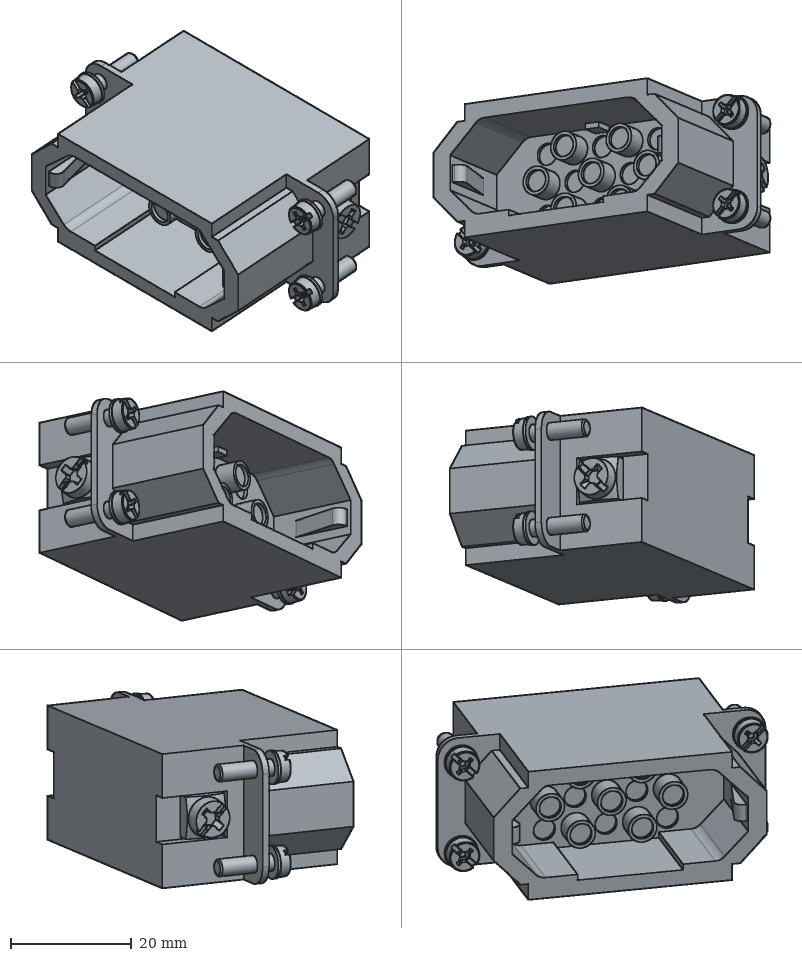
import cadquery as cq
import math

length = 56.25
depth = 34.3
height = 22.8
half_height = height / 2
mouth_y = -depth / 2
rear_y = depth / 2

flange_front_y = 0.9
flange_thickness = 1.2
flange_corner_radius = 3.5
rear_half_width = 21.1

shroud_half_width = 23.45
shroud_side_half_height = 3.8
shroud_shoulder_x = 18.9
shroud_shoulder_z = 8.55
spine_half_width = 17.5

cavity_half_width = 20.25
cavity_side_half_height = 3.0
cavity_top_z = 8.6
cavity_bottom_z = -7.7
cavity_corner_radius = 2.25
cavity_floor_y = -1.8
keyway_half_width = 9.05
keyway_depth = 1.0
key_width = 2.6
key_height = 0.95
key_length = 3.4

contact_pitch = 5.3
contact_columns = 5
contact_rows = 3
tube_diameter = 4.9
tube_length = 3.7
bore_diameter = 3.7
bore_depth = 0.7

latch_height = 2.9
latch_front_y = -16.45
latch_root_y = -6.2
latch_tip_thickness = 1.8
latch_tip_radius = 1.45

screw_x = 24.75
screw_z = 8.05
shank_diameter = 2.9
shank_end_y = 8.85
shank_chamfer = 0.3
collar_diameter = 5.6
collar_back_y = -1.1
collar_thickness = 0.5
head_base_diameter = 5.4
head_face_diameter = 5.2
head_face_y = -3.65
head_edge_chamfer = 0.15
head_slot_width = 0.85
head_slot_depth = 0.85
head_core_width = 1.8
head_core_depth = 1.1
head_cross_width = 0.6
head_cross_reach = 1.7
pilot_diameter = 1.0
pilot_depth = 1.45

groove_half_height = 3.95
groove_front_y = 5.1
groove_depth = 2.3
terminal_y = 9.05
terminal_face_x = 23.7
terminal_face_diameter = 6.2
terminal_base_x = 21.4
terminal_base_diameter = 6.75
terminal_pad_size = 7.15
terminal_flare_width = 1.7
terminal_flare_height = 0.7
terminal_slot_width = 1.05
terminal_slot_depth = 0.95
terminal_core_width = 2.3
terminal_core_depth = 1.4
terminal_cross_width = 1.2
terminal_cross_reach = 2.25

slot_tilt = 45

overlap = 0.55


def block(x_range, y_range, z_range):
    """Box spanning the three given ranges."""
    sizes = [high - low for low, high in (x_range, y_range, z_range)]
    corner = (x_range[0], y_range[0], z_range[0])
    return cq.Workplane("XY").box(*sizes, centered=False).translate(corner)


def along_y(start_y, end_y, outline):
    """Extrude an X-Z outline drawn by `outline` from start_y to end_y."""
    sketch = outline(cq.Workplane("XZ", origin=(0, start_y, 0)))
    return sketch.extrude(start_y - end_y)


def place(part, plane):
    """Move a part built around the local origin onto a plane."""
    return cq.Workplane(obj=part.val().moved(cq.Location(plane)))


def with_mirror(part):
    """Join a part with its mirror image across the Y-Z plane."""
    return part.union(part.mirror("YZ"))


def housing():
    shroud_points = [
        (shroud_half_width, shroud_side_half_height),
        (shroud_shoulder_x, shroud_shoulder_z),
        (-shroud_shoulder_x, shroud_shoulder_z),
        (-shroud_half_width, shroud_side_half_height),
        (-shroud_half_width, -shroud_side_half_height),
        (-shroud_shoulder_x, -shroud_shoulder_z),
        (shroud_shoulder_x, -shroud_shoulder_z),
        (shroud_half_width, -shroud_side_half_height),
    ]
    shroud = along_y(mouth_y, flange_front_y + overlap, lambda wp: wp.polyline(shroud_points).close())
    full_height = (-half_height, half_height)
    spine = block((-spine_half_width, spine_half_width), (mouth_y, rear_y), full_height)
    rear = block((-rear_half_width, rear_half_width), (flange_front_y, rear_y), full_height)
    flange_end_y = flange_front_y + flange_thickness
    flange = along_y(flange_front_y, flange_end_y, lambda wp: wp.rect(length, height))
    flange = flange.edges("|Y").fillet(flange_corner_radius)
    return spine.union(shroud).union(rear).union(flange)


def cavity():
    top_x = cavity_half_width - (cavity_top_z - cavity_side_half_height)
    bottom_x = cavity_half_width - (-cavity_bottom_z - cavity_side_half_height)
    points = [
        (cavity_half_width, cavity_side_half_height),
        (top_x, cavity_top_z),
        (-top_x, cavity_top_z),
        (-cavity_half_width, cavity_side_half_height),
        (-cavity_half_width, -cavity_side_half_height),
        (-bottom_x, cavity_bottom_z),
        (bottom_x, cavity_bottom_z),
        (cavity_half_width, -cavity_side_half_height),
    ]
    hollow = along_y(mouth_y, cavity_floor_y, lambda wp: wp.polyline(points).close())
    hollow = hollow.edges("|Y").edges("<Z or >Z").fillet(cavity_corner_radius)
    keyway = block(
        (-keyway_half_width, keyway_half_width),
        (mouth_y, cavity_floor_y),
        (cavity_bottom_z - keyway_depth, 0),
    )
    key = block(
        (-key_width / 2, key_width / 2),
        (cavity_floor_y - key_length, cavity_floor_y),
        (cavity_top_z - key_height, cavity_top_z),
    )
    return hollow.union(keyway).cut(key)


def contact_centres():
    """Grid positions, with True where the contact stands in a raised tube."""
    for column in range(contact_columns):
        for row in range(contact_rows):
            x = (column - (contact_columns - 1) / 2) * contact_pitch
            z = (row - (contact_rows - 1) / 2) * contact_pitch
            yield x, z, (column + row) % 2 == 1


def add_contacts(body):
    for x, z, raised in contact_centres():
        face_y = cavity_floor_y
        if raised:
            face_y -= tube_length
            tube_end_y = cavity_floor_y + overlap
            tube = along_y(face_y, tube_end_y, lambda wp: wp.center(x, z).circle(tube_diameter / 2))
            body = body.union(tube)
        bore = along_y(face_y, face_y + bore_depth, lambda wp: wp.center(x, z).circle(bore_diameter / 2))
        body = body.cut(bore)
    return body


def latch():
    """Right-hand finger, ramping out of the cavity wall towards the mouth."""
    centre_x = cavity_half_width - latch_tip_thickness + latch_tip_radius
    centre_y = latch_front_y + latch_tip_radius
    root_dx = cavity_half_width - centre_x
    root_dy = latch_root_y - centre_y
    ramp_angle = math.atan2(root_dx, root_dy) + math.asin(latch_tip_radius / math.hypot(root_dx, root_dy))
    tangent_point = (
        centre_x - latch_tip_radius * math.cos(ramp_angle),
        centre_y + latch_tip_radius * math.sin(ramp_angle),
    )
    finger = (
        cq.Workplane("XY", origin=(0, 0, -latch_height / 2))
        .moveTo(cavity_half_width + overlap, latch_front_y)
        .lineTo(centre_x, latch_front_y)
        .radiusArc(tangent_point, latch_tip_radius)
        .lineTo(cavity_half_width, latch_root_y)
        .lineTo(cavity_half_width + overlap, latch_root_y)
        .close()
        .extrude(latch_height)
    )
    return finger


def drive_recess(slot_width, slot_depth, core_width, core_depth, cross_width, cross_reach):
    """Combined slot and cross recess in a head whose face lies at local z = 0."""
    slot_length = 2 * terminal_base_diameter
    recess = cq.Workplane("XY").rect(slot_length, slot_width).extrude(-slot_depth)
    core_sides = 8
    across_corners = core_width / math.cos(math.pi / core_sides)
    core = cq.Workplane("XY").polygon(core_sides, across_corners).extrude(-core_depth)
    recess = recess.union(core.rotate((0, 0, 0), (0, 0, 1), 180 / core_sides))
    ramp_points = [(0, 0), (0, -core_depth), (core_width / 2, -core_depth), (cross_reach, 0)]
    ramp = cq.Workplane("XZ").polyline(ramp_points).close().extrude(cross_width / 2, both=True)
    for quarter in range(4):
        recess = recess.union(ramp.rotate((0, 0, 0), (0, 0, 1), quarter * 90))
    return recess


def fixing_screw(z):
    """Left-hand fixing screw at height z, head towards the mouth."""
    head_height = collar_back_y - collar_thickness - head_face_y
    collar_bottom = -head_height - collar_thickness
    profile = [
        (0, 0),
        (head_face_diameter / 2 - head_edge_chamfer, 0),
        (head_face_diameter / 2, -head_edge_chamfer),
        (head_base_diameter / 2, -head_height),
        (collar_diameter / 2, -head_height),
        (collar_diameter / 2, collar_bottom),
        (shank_diameter / 2, collar_bottom),
        (shank_diameter / 2, head_face_y - shank_end_y + shank_chamfer),
        (shank_diameter / 2 - shank_chamfer, head_face_y - shank_end_y),
        (0, head_face_y - shank_end_y),
    ]
    screw = cq.Workplane("XZ").polyline(profile).close().revolve(360, (0, 0, 0), (0, 1, 0))
    recess = drive_recess(
        head_slot_width, head_slot_depth, head_core_width, head_core_depth, head_cross_width, head_cross_reach
    )
    pilot = cq.Workplane("XY").circle(pilot_diameter / 2).extrude(-pilot_depth)
    recess = recess.union(pilot).rotate((0, 0, 0), (0, 0, 1), -slot_tilt)
    plane = cq.Plane(origin=(-screw_x, head_face_y, z), xDir=(1, 0, 0), normal=(0, -1, 0))
    return place(screw.cut(recess), plane)


def terminal():
    """Left-hand earth terminal screw, its head flaring into a square pad."""
    head_height = terminal_face_x - terminal_base_x
    foot = rear_half_width - groove_depth - overlap - terminal_face_x
    base_radius = terminal_base_diameter / 2
    flare_radius = base_radius + terminal_flare_width
    profile = [
        (0, 0),
        (terminal_face_diameter / 2, 0),
        (base_radius, -head_height),
        (flare_radius, -head_height - terminal_flare_height),
        (flare_radius, foot),
        (0, foot),
    ]
    head = cq.Workplane("XZ").polyline(profile).close().revolve(360, (0, 0, 0), (0, 1, 0))
    head = head.intersect(cq.Workplane("XY").rect(terminal_pad_size, terminal_pad_size).extrude(foot))
    recess = drive_recess(
        terminal_slot_width,
        terminal_slot_depth,
        terminal_core_width,
        terminal_core_depth,
        terminal_cross_width,
        terminal_cross_reach,
    )
    recess = recess.rotate((0, 0, 0), (0, 0, 1), slot_tilt)
    plane = cq.Plane(origin=(-terminal_face_x, terminal_y, 0), xDir=(0, -1, 0), normal=(-1, 0, 0))
    return place(head.cut(recess), plane)


def terminal_groove():
    return block(
        (-rear_half_width, -rear_half_width + groove_depth),
        (groove_front_y, rear_y),
        (-groove_half_height, groove_half_height),
    )


result = housing().cut(cavity())
result = add_contacts(result)
result = result.union(with_mirror(latch()))
result = result.cut(with_mirror(terminal_groove()))
result = result.union(with_mirror(terminal()))
for level in (-screw_z, screw_z):
    result = result.union(with_mirror(fixing_screw(level)))